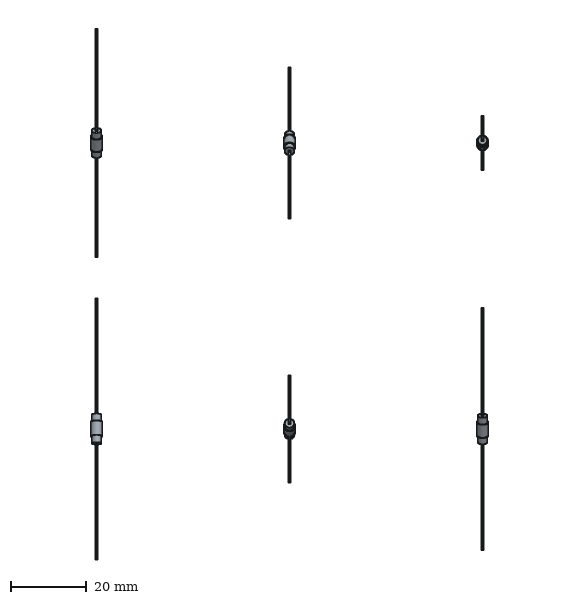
import cadquery as cq

overall_length = 71.37
body_length = 7.87
sleeve_length = 3.94
sleeve_diameter = 3.05
cap_diameter = 2.54
lead_diameter = 0.64


def centred_cylinder(diameter, length):
    """Cylinder along Z, centred on the origin."""
    return cq.Workplane("XY").cylinder(length, diameter / 2)


lead_wire = centred_cylinder(lead_diameter, overall_length)
cap_core = centred_cylinder(cap_diameter, body_length)
sleeve = centred_cylinder(sleeve_diameter, sleeve_length)

result = sleeve.union(cap_core).union(lead_wire)